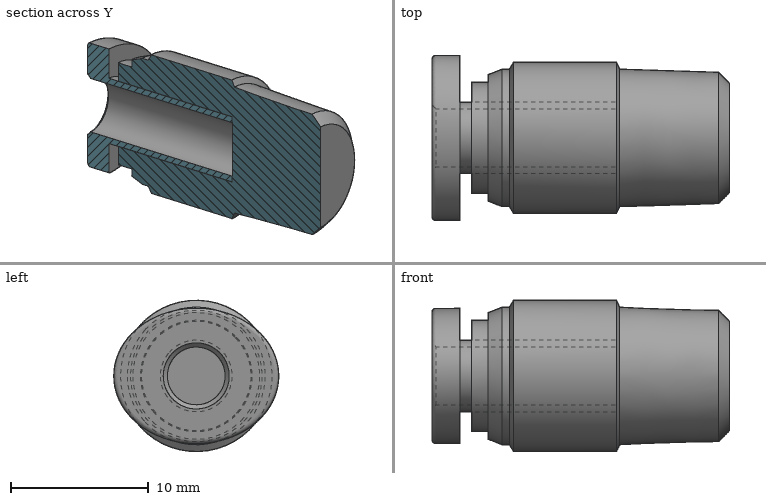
import cadquery as cq

TOTAL_LENGTH = 21.6

FLANGE_WIDTH = 11.99
FLANGE_HEIGHT = 9.83
FLANGE_THICKNESS = 2.03
FLANGE_ROUNDING = 0.28
NECK_DIAMETER = 5.2
BORE_DIAMETER = 4.2
BORE_CHAMFER = 0.3
NECK_END_X = 13.4

COLLAR_START_X = 2.87
LEAD_IN_START_X = 4.08
LEAD_IN_END_X = 5.1
SHOULDER_START_X = 5.62
BARREL_START_X = 5.92
BARREL_END_X = NECK_END_X
PLUG_START_X = 13.63

COLLAR_DIAMETER = 8.1
LEAD_IN_DIAMETER = 9.2
STEP_DIAMETER = 10.0
BARREL_DIAMETER = 11.0
PLUG_END_DIAMETER = 9.55
PLUG_CHAMFER = 0.8


def make_button():
    """Oval flange on a round neck, bored right through."""
    flange = (
        cq.Workplane("YZ")
        .ellipse(FLANGE_WIDTH / 2, FLANGE_HEIGHT / 2)
        .extrude(FLANGE_THICKNESS)
        .faces("<X")
        .edges()
        .fillet(FLANGE_ROUNDING)
    )
    neck = cq.Workplane("YZ").circle(NECK_DIAMETER / 2).extrude(NECK_END_X)
    bore = cq.Workplane("YZ").circle(BORE_DIAMETER / 2).extrude(NECK_END_X)
    button = flange.union(neck).cut(bore)
    bore_mouth = button.faces("<X").edges(cq.selectors.RadiusNthSelector(0))
    return bore_mouth.chamfer(BORE_CHAMFER)


def make_housing():
    """Stepped, turned housing with a blind socket for the button neck."""
    plug_end_radius = PLUG_END_DIAMETER / 2
    profile = [
        (COLLAR_START_X, 0),
        (COLLAR_START_X, COLLAR_DIAMETER / 2),
        (LEAD_IN_START_X, COLLAR_DIAMETER / 2),
        (LEAD_IN_START_X, LEAD_IN_DIAMETER / 2),
        (LEAD_IN_END_X, STEP_DIAMETER / 2),
        (SHOULDER_START_X, STEP_DIAMETER / 2),
        (BARREL_START_X, BARREL_DIAMETER / 2),
        (BARREL_END_X, BARREL_DIAMETER / 2),
        (PLUG_START_X, STEP_DIAMETER / 2),
        (TOTAL_LENGTH - PLUG_CHAMFER, plug_end_radius),
        (TOTAL_LENGTH, plug_end_radius - PLUG_CHAMFER),
        (TOTAL_LENGTH, 0),
    ]
    blank = cq.Workplane("XY").polyline(profile).close().revolve(360, (0, 0, 0), (1, 0, 0))
    socket = cq.Workplane("YZ").circle(NECK_DIAMETER / 2).extrude(NECK_END_X)
    return blank.cut(socket)


button = make_button()
housing = make_housing()

result = cq.Compound.makeCompound([button.val(), housing.val()])